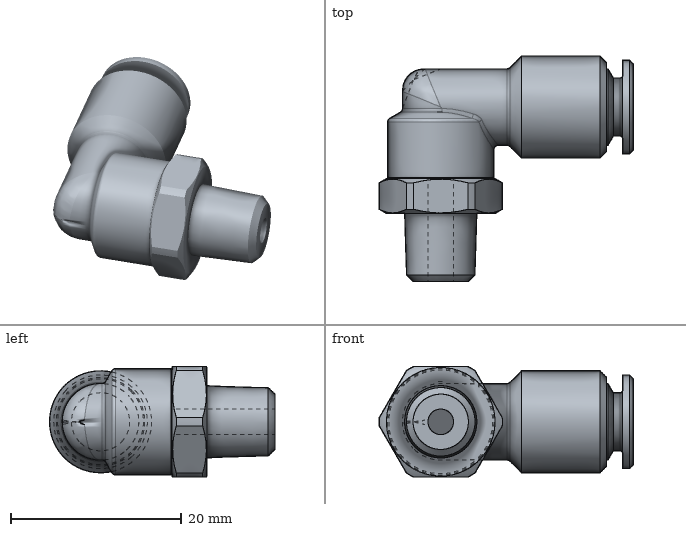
import math

import cadquery as cq


pipe_radius = 4.5
elbow_round = 2.6

collar_radius = 6.25
collar_cone_angle = 60.0
collar_cone_start = 0.46
collar_round = 0.5
collar_end = 8.25

neck_radius = 6.1
hex_start = 8.4
hex_end = 12.5
hex_across_flats = 13.0
hex_corner_radius = 7.24
hex_chamfer_radius = 6.38
hex_chamfer_angle = 30.0

stem_base_radius = 4.25
stem_slope = 1.0 / 32.0
stem_end = 20.5
stem_chamfer_length = 0.8
stem_tip_radius = 3.25
bore_radius = 1.5
bore_depth = stem_end - hex_start

body_radius = 6.0
body_cone_start = 8.0
body_cone_end = 9.5
body_cone_round = 0.5
body_end = 19.5
body_chamfer = 0.8
nose_radius = 4.5
nose_length = 0.15
nose_cone_angle = 60.0

button_neck_radius = 3.42
button_radius = 5.5
button_start = 21.36
button_end = 22.63
button_chamfer = 0.45
button_neck_round = 0.3

tolerance = 0.001


def cone_length(radius_change, angle):
    """Axial length over which a cone of the given half angle changes its radius."""
    return radius_change / math.tan(math.radians(angle))


def pipe_along_x(length):
    """Pipe along +X from the outer face of the elbow."""
    return cq.Workplane("YZ").workplane(offset=-pipe_radius).circle(pipe_radius).extrude(length)


def pipe_along_minus_y(length):
    """Pipe along -Y from the outer face of the elbow."""
    return cq.Workplane("XZ").workplane(offset=-pipe_radius).circle(pipe_radius).extrude(length)


def revolve_about_y(outline):
    """Revolve (radius, distance along -Y) points into a solid around the Y axis."""
    points = [(radius, -distance) for radius, distance in outline]
    return cq.Workplane("XY").polyline(points).close().revolve(360, (0, 0, 0), (0, 1, 0))


def revolve_about_x(outline):
    """Revolve (distance along X, radius) points into a solid around the X axis."""
    return cq.Workplane("XY").polyline(outline).close().revolve(360, (0, 0, 0), (1, 0, 0))


def round_ring(solid, ring_point, radius):
    """Round the circular edge passing through the given point of the XY plane."""
    x, y = ring_point
    rings = [
        edge
        for edge in solid.edges("%CIRCLE").vals()
        if edge.distance(cq.Vertex.makeVertex(x, y, 0)) < tolerance
    ]
    return solid.newObject(rings).fillet(radius)


def make_mitred_corner():
    """Outer quarter of the elbow: the overlap of both pipes, still sharp along the mitre."""
    return pipe_along_x(pipe_radius).intersect(pipe_along_minus_y(pipe_radius))


def is_outer_mitre(edge):
    """True for the sharp edges along the outside of the elbow."""
    return edge.Center().x < -tolerance


def make_collar():
    """Swivel collar with a conical shoulder blended into the pipe."""
    cone_end = collar_cone_start + cone_length(collar_radius - pipe_radius, collar_cone_angle)
    collar = revolve_about_y(
        [
            (0, 0),
            (pipe_radius, 0),
            (pipe_radius, collar_cone_start),
            (collar_radius, cone_end),
            (collar_radius, collar_end),
            (0, collar_end),
        ]
    )
    return round_ring(collar, (collar_radius, -cone_end), collar_round)


def is_collar_junction(edge):
    """True for the concave edges where the collar meets either branch of the pipe."""
    middle = edge.positionAt(0.5)
    on_tube_pipe = abs(math.hypot(middle.y, middle.z) - pipe_radius) < tolerance
    on_threaded_pipe = abs(math.hypot(middle.x, middle.z) - pipe_radius) < tolerance
    beside_collar = -collar_end < middle.y < tolerance - collar_cone_start
    return beside_collar and (on_tube_pipe or on_threaded_pipe)


def make_elbow():
    """Collar, tube pipe and rounded corner, with the collar blended into the pipe."""
    tube_pipe = cq.Workplane("YZ").circle(pipe_radius).extrude(body_cone_start)
    elbow = make_collar().union(tube_pipe)
    junctions = [edge for edge in elbow.edges().vals() if is_collar_junction(edge)]
    elbow = elbow.newObject(junctions).fillet(collar_round)
    elbow = elbow.union(make_mitred_corner())
    mitre = [edge for edge in elbow.edges("%ELLIPSE").vals() if is_outer_mitre(edge)]
    return elbow.newObject(mitre).fillet(elbow_round)


def make_neck():
    """Narrow gap between the collar and the hexagon."""
    return cq.Workplane("XZ").workplane(offset=collar_end).circle(neck_radius).extrude(hex_start - collar_end)


def make_hexagon():
    """Hexagon with turned corners and a conical chamfer on both ends."""
    across_corners = hex_across_flats / math.cos(math.pi / 6)
    prism = (
        cq.Workplane("XZ")
        .workplane(offset=hex_start)
        .polygon(6, across_corners)
        .extrude(hex_end - hex_start)
    )
    chamfer_length = (hex_corner_radius - hex_chamfer_radius) * math.tan(math.radians(hex_chamfer_angle))
    turned_blank = revolve_about_y(
        [
            (0, hex_start),
            (hex_chamfer_radius, hex_start),
            (hex_corner_radius, hex_start + chamfer_length),
            (hex_corner_radius, hex_end - chamfer_length),
            (hex_chamfer_radius, hex_end),
            (0, hex_end),
        ]
    )
    return prism.intersect(turned_blank)


def make_stem():
    """Tapered stem with a chamfered tip."""
    chamfer_start = stem_end - stem_chamfer_length
    chamfer_radius = stem_base_radius - stem_slope * (chamfer_start - hex_end)
    return revolve_about_y(
        [
            (0, hex_end),
            (stem_base_radius, hex_end),
            (chamfer_radius, chamfer_start),
            (stem_tip_radius, stem_end),
            (0, stem_end),
        ]
    )


def make_bore():
    """Blind bore from the stem tip up to the collar side of the hexagon."""
    return cq.Workplane("XZ").workplane(offset=stem_end).circle(bore_radius).extrude(-bore_depth)


def make_tube_body():
    """Tube body with its rear cone, front chamfer and conical nose."""
    nose_cone_start = body_end + nose_length
    nose_cone_length = cone_length(nose_radius - button_neck_radius, nose_cone_angle)
    pipe_overlap_start = body_cone_start - body_cone_round
    body = revolve_about_x(
        [
            (pipe_overlap_start, 0),
            (pipe_overlap_start, pipe_radius),
            (body_cone_start, pipe_radius),
            (body_cone_end, body_radius),
            (body_end - body_chamfer, body_radius),
            (body_end, body_radius - body_chamfer),
            (body_end, nose_radius),
            (nose_cone_start, nose_radius),
            (nose_cone_start + nose_cone_length, button_neck_radius),
            (nose_cone_start + nose_cone_length, 0),
        ]
    )
    return round_ring(body, (body_cone_start, pipe_radius), body_cone_round)


def make_release_button():
    """Release button: a neck and a flange with a chamfered rim."""
    button = revolve_about_x(
        [
            (body_end, 0),
            (body_end, button_neck_radius),
            (button_start, button_neck_radius),
            (button_start, button_radius),
            (button_end - button_chamfer, button_radius),
            (button_end, button_radius - button_chamfer),
            (button_end, 0),
        ]
    )
    return round_ring(button, (button_start, button_neck_radius), button_neck_round)


result = (
    make_elbow()
    .union(make_neck())
    .union(make_hexagon())
    .union(make_stem())
    .union(make_tube_body())
    .union(make_release_button())
    .cut(make_bore())
)